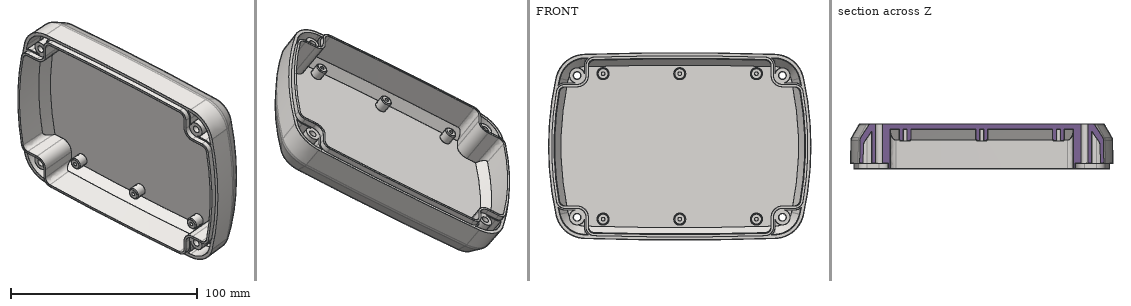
import cadquery as cq
import math

half_width = 70.3
half_height = 50.2
depth = 24.0
lip_height = 3.0
rim_depth = depth - lip_height

corner_radius = 16.0
corner_x = 50.6
corner_z = 33.3

slope_angle = 30.0
slope_depth = 7.9
knee_radius = 3.4
outer_draft = 1.2
inner_draft = 1.5
back_edge_radius = 1.0

wall = 3.0
floor = 3.0
lip_inset = 1.7
pocket_inset = 2.0
inner_slope_depth = 8.7

boss_x = 55.0
boss_z = 38.0
boss_radius = 4.1
screw_radius = 2.0
chamber_reach = 6.0
lip_reach = 4.8
partition_ledge = 0.8
pocket_reach = lip_reach - partition_ledge
lip_round = 4.5
chamber_round = lip_round - (chamber_reach - lip_reach)

post_spacing = 41.0
post_z = 38.9
post_radius = 3.2
post_height = 6.0
post_chamfer = 0.5
post_hole_radius = 1.0

tolerance = 0.01

slope = math.tan(math.radians(slope_angle))
corners = [(sx, sz) for sx in (-1, 1) for sz in (-1, 1)]


def plane_at(distance):
    """Workplane at a distance in front of the back face, facing -Y."""
    return cq.Workplane("XZ", origin=(0, -distance, 0))


def corner_tangent(half_size, along, across):
    """Cosine and sine of the direction from the corner centre to where its arc meets the bowed side."""
    gap = half_size - along
    bow_radius = (gap**2 + across**2 - corner_radius**2) / (2 * (gap - corner_radius))
    sine = across / (bow_radius - corner_radius)
    return math.sqrt(1 - sine**2), sine


def outline(distance, inset):
    """Outer outline moved inward by inset, drawn at a distance from the back."""
    radius = corner_radius - inset
    side_cos, side_sin = corner_tangent(half_width, corner_x, corner_z)
    top_cos, top_sin = corner_tangent(half_height, corner_z, corner_x)
    side = (corner_x + radius * side_cos, corner_z + radius * side_sin)
    top = (corner_x + radius * top_sin, corner_z + radius * top_cos)
    middle_angle = (math.atan2(side_sin, side_cos) + math.atan2(top_cos, top_sin)) / 2
    middle = (corner_x + radius * math.cos(middle_angle), corner_z + radius * math.sin(middle_angle))
    width = half_width - inset
    height = half_height - inset

    def at(point, sx, sz):
        return (sx * point[0], sz * point[1])

    return (
        plane_at(distance)
        .moveTo(*at(side, 1, -1))
        .threePointArc((width, 0), side)
        .threePointArc(middle, top)
        .threePointArc((0, height), at(top, -1, 1))
        .threePointArc(at(middle, -1, 1), at(side, -1, 1))
        .threePointArc((-width, 0), at(side, -1, -1))
        .threePointArc(at(middle, -1, -1), at(top, -1, -1))
        .threePointArc((0, -height), at(top, 1, -1))
        .threePointArc(at(middle, 1, -1), at(side, 1, -1))
        .close()
    )


def drafted_inset(inset, length, draft):
    """Inset reached after a length of drafted wall."""
    return inset + length * math.tan(math.radians(draft))


def sloped_block(start, knee, end, end_inset, draft):
    """Solid that widens from start to knee along the slope, then along the drafted wall to end."""
    knee_inset = drafted_inset(end_inset, end - knee, draft)
    start_inset = knee_inset + (knee - start) * slope
    sloped = outline(start, start_inset).extrude(knee - start, taper=-slope_angle)
    straight = outline(knee, knee_inset).extrude(end - knee, taper=-draft)
    return sloped.union(straight)


def corner_blocks(reach):
    """Four blocks covering the corners, each rounded around its screw hole."""
    blocks = cq.Workplane("XZ")
    for sx, sz in corners:
        block = (
            plane_at(0)
            .moveTo(sx * (boss_x - reach), sz * half_height)
            .lineTo(sx * (boss_x - reach), sz * boss_z)
            .radiusArc((sx * boss_x, sz * (boss_z - reach)), -sx * sz * reach)
            .lineTo(sx * half_width, sz * (boss_z - reach))
            .lineTo(sx * half_width, sz * half_height)
            .close()
            .extrude(depth)
        )
        blocks = blocks.add(block)
    return blocks.combine()


def notch_corners(block, reach, round_radius):
    """Cut the corners out of a block and round the outward corners this leaves."""
    block = block.cut(corner_blocks(reach))
    notch_x = boss_x - reach
    notch_z = boss_z - reach

    def is_on_upright(point):
        return abs(abs(point.x) - notch_x) < tolerance and abs(point.z) > boss_z + tolerance

    def is_on_level(point):
        return abs(abs(point.z) - notch_z) < tolerance and abs(point.x) > boss_x + tolerance

    def is_outward_corner(edge):
        points = (edge.startPoint(), edge.endPoint())
        on_upright = all(is_on_upright(point) for point in points)
        on_level = all(is_on_level(point) for point in points)
        runs_in_depth = abs(points[0].y - points[1].y) > tolerance
        return runs_in_depth and (on_upright or on_level)

    outward_corners = [edge for edge in block.edges().vals() if is_outward_corner(edge)]
    return block.newObject(outward_corners).fillet(round_radius)


body = sloped_block(0, slope_depth, rim_depth, 0, outer_draft)
knee_edges = [edge for edge in body.edges().vals() if abs(edge.Center().y + slope_depth) < tolerance]
body = body.newObject(knee_edges).fillet(knee_radius)
body = body.faces(">Y").edges().fillet(back_edge_radius)

chamber_floor_inset = drafted_inset(wall, depth - floor, inner_draft)
chamber = outline(floor, chamber_floor_inset).extrude(depth - floor, taper=-inner_draft)
chamber = notch_corners(chamber, chamber_reach, chamber_round)
chamber = chamber.intersect(sloped_block(floor, inner_slope_depth, depth, wall, inner_draft))
body = body.cut(chamber)

pocket_knee = inner_slope_depth + (wall - pocket_inset) / slope
pockets = sloped_block(floor, pocket_knee, rim_depth, pocket_inset, inner_draft)
partition = outline(floor, lip_inset - partition_ledge).extrude(rim_depth - floor)
partition = notch_corners(partition, pocket_reach, lip_round + partition_ledge)
body = body.cut(pockets.cut(partition))

lip = outline(rim_depth, lip_inset).extrude(lip_height)
lip = notch_corners(lip, lip_reach, lip_round).cut(chamber)
body = body.union(lip)

boss_points = [(sx * boss_x, sz * boss_z) for sx, sz in corners]
bosses = plane_at(floor).pushPoints(boss_points).circle(boss_radius).extrude(rim_depth - floor)
screw_holes = plane_at(0).pushPoints(boss_points).circle(screw_radius).extrude(rim_depth)
body = body.union(bosses).cut(screw_holes)

post_points = [(ix * post_spacing, sz * post_z) for ix in (-1, 0, 1) for sz in (-1, 1)]
posts = plane_at(floor).pushPoints(post_points).circle(post_radius).extrude(post_height)
posts = posts.faces("<Y").edges().chamfer(post_chamfer)
post_holes = plane_at(floor).pushPoints(post_points).circle(post_hole_radius).extrude(post_height)
result = body.union(posts).cut(post_holes)